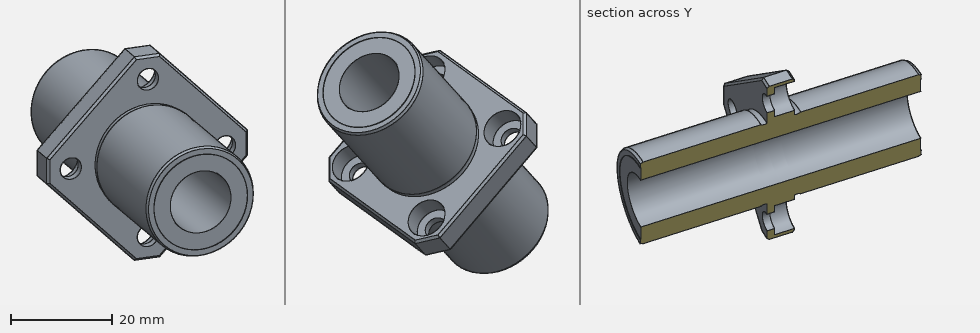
import cadquery as cq

length = 61.0
sleeve_radius = 23.0 / 2
bore_radius = 13.0 / 2

end_chamfer_length = 0.6
end_chamfer_depth = 0.3
seal_radius = 20.0 / 2
seal_recess = 0.1

flange_thickness = 6.0
flange_side = 34.15
flange_corner_span = 42.95
flange_chamfer = 0.5

groove_width = 1.35
groove_mid_depth = 0.25
groove_flange_depth = 0.2

hole_radius = 4.5 / 2
counterbore_radius = 8.0 / 2
counterbore_depth = 4.35
bolt_circle_radius = 33.0 / 2
hole_count = 4

middle = length / 2
flange_start = middle - flange_thickness / 2
groove_start = flange_start - groove_width


def make_half_sleeve():
    """Ring revolved about X, from the end at x = 0 to the middle of the flange."""
    neck_radius = sleeve_radius - groove_flange_depth
    groove_middle = (groove_start + groove_width / 2, sleeve_radius - groove_mid_depth)
    profile = (
        cq.Workplane("XY")
        .moveTo(seal_recess, bore_radius)
        .lineTo(seal_recess, seal_radius)
        .lineTo(0, seal_radius)
        .lineTo(0, sleeve_radius - end_chamfer_depth)
        .lineTo(end_chamfer_length, sleeve_radius)
        .lineTo(groove_start, sleeve_radius)
        .threePointArc(groove_middle, (flange_start, neck_radius))
        .lineTo(middle, neck_radius)
        .lineTo(middle, bore_radius)
        .close()
    )
    return profile.revolve(360, (0, 0, 0), (1, 0, 0))


def flange_plane():
    """Workplane on the -X face of the flange, facing +X."""
    return cq.Workplane("YZ", origin=(flange_start, 0, 0))


def make_flange():
    """Square plate on its corner, with flattened corners, chamfered faces and the bore."""
    diamond = (
        flange_plane()
        .transformed(rotate=(0, 0, 45))
        .rect(flange_side, flange_side)
        .extrude(flange_thickness)
    )
    corner_trim = flange_plane().rect(flange_corner_span, flange_corner_span).extrude(flange_thickness)
    plate = diamond.intersect(corner_trim).faces("<X or >X").chamfer(flange_chamfer)
    bore = flange_plane().circle(bore_radius).extrude(flange_thickness)
    return plate.cut(bore)


def make_bolt_cylinders(radius, depth):
    """Cylinders at every bolt position, reaching from the -X flange face into the flange."""
    positions = flange_plane().polarArray(bolt_circle_radius, 0, 360, hole_count)
    return positions.circle(radius).extrude(depth)


half_sleeve = make_half_sleeve()
other_half = half_sleeve.mirror("YZ", (middle, 0, 0))

result = (
    half_sleeve.union(other_half)
    .union(make_flange())
    .cut(make_bolt_cylinders(hole_radius, flange_thickness))
    .cut(make_bolt_cylinders(counterbore_radius, counterbore_depth))
)